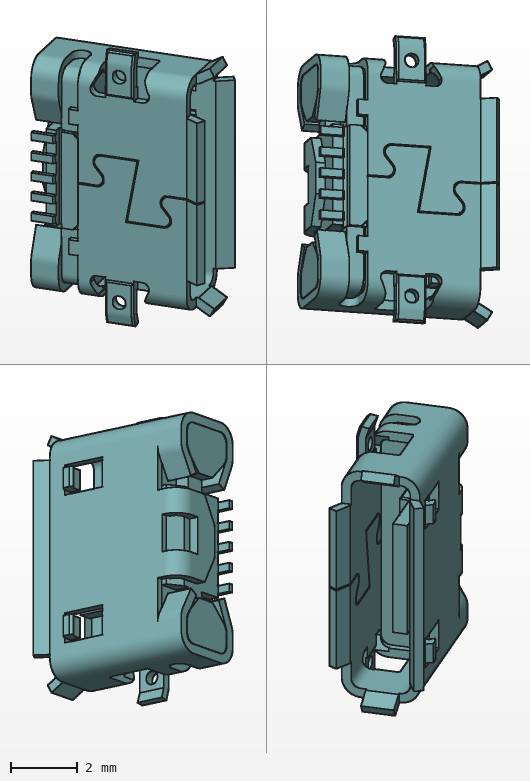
import cadquery as cq
import math


WALL = 0.30
SHELL_HALF_Z = 3.75
SHELL_BACK_Y = 1.25
SHELL_SEAM_Y = -1.20
SHELL_CORNER = 0.60
SHELL_END_X = 5.00
CLAMP_SEAM_Y = -1.26
CLAMP_LENGTH = 0.89
CLAMP_BEND_RADIUS = 0.57
CLAMP_BEND_Z = 2.73
CLAMP_BACK_TIP_Z = 1.75
CLAMP_SEAM_TIP_Z = 1.69
CLAMP_BACK_ANGLE = 30
CLAMP_SEAM_ANGLE = 24
SLOT_END_X = 1.49
SLOT_TOP_Y = 0.105
KEY_START_X = 1.19
KEY_Z = (1.87, 2.34)

LIP_ANGLE = 30
LIP_TIP_X = 5.585
SEAM_LIP_HALF = 2.62
BACK_LIP_HALF = 3.03
END_LIP_Y = (-0.42, 0.61)

WINDOW_X = (2.09, 3.59)
WINDOW_TOP_Y = 0.20
WINDOW_CORNER = 0.08
TAB_CENTRE_X = (WINDOW_X[0] + WINDOW_X[1]) / 2
RELIEF_WIDTH = 1.90
RELIEF_Z = (2.90, 3.15)
RELIEF_TAPER_END_Z = 3.56
RELIEF_CORNER = 0.22
TAB_WIDTH = 0.92
TAB_SEAM_Y = -1.25
TAB_Z = (2.97, 4.41)
TAB_BEND_Z = (3.965, 4.10)
TAB_TIP_SHIFT = 0.11
TAB_TIP_SKEW = 0.05
TAB_EDGE = 0.06
TAB_ROOT_Z = 2.80
TAB_HOLE_DIAMETER = 0.42
TAB_HOLE_Z = 3.64

SEAM_GAP = 0.04
SEAM_CENTRE_X = 3.245
SEAM_HALF_HEIGHT = 1.01
SEAM_RADIUS = 0.235
SEAM_NECK_X = 2.08
SEAM_HEAD_X = 2.24
SEAM_CORNER_X = 3.43

COVER_FRONT_X = 0.07
COVER_HALF_Z = 1.37
COVER_TIP_HALF_Z = 0.485
COVER_TAPER_Y = 0.02
COVER_TIP_Y = -0.48
COVER_BEND_RADIUS = 0.57
COVER_NOTCH_HALF_Z = 0.58
COVER_NOTCH_Y = 0.36

LATCH_Z = (1.99, 2.62)
LATCH_WINDOW_START_X = 3.00
LATCH_SIDE_GAP = 0.15
LATCH_TIP_X = (3.97, 4.43)
LATCH_TIP_Y = 1.47

CORE_FRONT_X = 0.42
CORE_HALF_Z = 1.55
CORE_SEAM_Y = -1.08
CORE_CHAMFER_Y = 0.57
CORE_CHAMFER_X = 0.30
GROOVE_START_X = 0.75
GROOVE_FLOOR_Y = -0.85
CORE_BACK_Y = 1.065
FLANGE_START_X = 0.88
FLANGE_SEAM_Y = -1.00
FLANGE_HALF_Z = 3.49
FLANGE_CORNER = 0.39
FLANGE_END_X = 1.41
RIB_START_X = 0.94
RIB_SEAM_Y = -1.15
RIB_CHAMFER = 0.18
BASE_END_X = 1.85
NECK_Y = (-0.29, 0.36)
NECK_Z = 1.94
BLOCK_FRONT_X = 0.02
LEDGE_END_X = 2.50
LEDGE_BOTTOM_Y = -0.13
LEDGE_CHAMFER = 0.05
TONGUE_END_X = 4.30
TONGUE_HALF_Z = 1.80
TONGUE_TOP_Y = 0.65

PIN_COUNT = 5
PIN_PITCH = 0.65
PIN_WIDTH = 0.25
PIN_SEAM_Y = -1.24
PIN_END_CHAMFER = 0.06

CAVITY_BACK_Y = SHELL_BACK_Y - WALL
CAVITY_SEAM_Y = SHELL_SEAM_Y + WALL
CAVITY_HALF_Z = SHELL_HALF_Z - WALL


def box(x_range, y_range, z_range):
    size = [high - low for low, high in (x_range, y_range, z_range)]
    return cq.Workplane("XY").box(*size, centered=False).translate((x_range[0], y_range[0], z_range[0]))


def both_ends(body):
    return body.union(body.mirror("XY"))


def rounded_bar(x_range, y_range, half_z, radius):
    return box(x_range, y_range, (-half_z, half_z)).edges("|X").fillet(radius)


def tube(x_range, seam_y):
    outer = rounded_bar(x_range, (seam_y, SHELL_BACK_Y), SHELL_HALF_Z, SHELL_CORNER)
    inner = rounded_bar(x_range, (seam_y + WALL, CAVITY_BACK_Y), CAVITY_HALF_Z, SHELL_CORNER - WALL)
    return outer.cut(inner)


def polar(centre, radius, degrees, side):
    """Point in the YZ plane, turned from the face normal (side * Y) towards -Z."""
    angle = math.radians(degrees)
    return (centre[0] + side * radius * math.cos(angle), centre[1] - radius * math.sin(angle))


def clamp_leg(face_y, side, angle, tip_z):
    """Wall strip bending inwards from a broad face of the upper clamp."""
    inner_radius = CLAMP_BEND_RADIUS - WALL
    centre = (face_y - side * CLAMP_BEND_RADIUS, CLAMP_BEND_Z)
    outer_end = polar(centre, CLAMP_BEND_RADIUS, angle, side)
    inner_end = polar(centre, inner_radius, angle, side)
    length = (outer_end[1] - tip_z) / math.cos(math.radians(angle))
    run_y = -side * length * math.sin(math.radians(angle))
    run_z = -length * math.cos(math.radians(angle))
    return (
        cq.Workplane("YZ")
        .moveTo(face_y, CLAMP_BEND_Z)
        .threePointArc(polar(centre, CLAMP_BEND_RADIUS, angle / 2, side), outer_end)
        .lineTo(outer_end[0] + run_y, outer_end[1] + run_z)
        .lineTo(inner_end[0] + run_y, inner_end[1] + run_z)
        .lineTo(*inner_end)
        .threePointArc(polar(centre, inner_radius, angle / 2, side), (face_y - side * WALL, CLAMP_BEND_Z))
        .close()
        .extrude(CLAMP_LENGTH)
    )


def clamps():
    reach_y = 2 * SHELL_BACK_Y
    bow = tube((0, CLAMP_LENGTH), CLAMP_SEAM_Y).intersect(
        box((0, CLAMP_LENGTH), (-reach_y, reach_y), (CLAMP_BEND_Z, SHELL_HALF_Z)))
    bow = bow.union(clamp_leg(SHELL_BACK_Y, 1, CLAMP_BACK_ANGLE, CLAMP_BACK_TIP_Z))
    bow = bow.union(clamp_leg(CLAMP_SEAM_Y, -1, CLAMP_SEAM_ANGLE, CLAMP_SEAM_TIP_Z))
    return both_ends(bow)


def cross_slot():
    """Slot with rounded ends that parts the seam face from the clamps."""
    width = SLOT_END_X - CLAMP_LENGTH
    shoulder_y = SLOT_TOP_Y - width / 2
    return (
        cq.Workplane("XY")
        .moveTo(CLAMP_LENGTH, 2 * SHELL_SEAM_Y)
        .lineTo(CLAMP_LENGTH, shoulder_y)
        .threePointArc((CLAMP_LENGTH + width / 2, SLOT_TOP_Y), (SLOT_END_X, shoulder_y))
        .lineTo(SLOT_END_X, 2 * SHELL_SEAM_Y)
        .close()
        .extrude(2 * SHELL_HALF_Z, both=True)
    )


def tab_window():
    """End-wall window joined to a wider, rounded relief in the seam face."""
    outside = 2 * SHELL_HALF_Z
    window = box(WINDOW_X, (2 * SHELL_SEAM_Y, WINDOW_TOP_Y), (RELIEF_TAPER_END_Z, outside))
    window = window.union(box(WINDOW_X, (CAVITY_SEAM_Y, WINDOW_TOP_Y), (CAVITY_HALF_Z - WALL, outside)))
    window = window.edges("|Z and >Y").fillet(WINDOW_CORNER)
    half = RELIEF_WIDTH / 2
    window_half = (WINDOW_X[1] - WINDOW_X[0]) / 2
    relief = (
        cq.Workplane("XZ", origin=(TAB_CENTRE_X, SHELL_SEAM_Y + SHELL_CORNER, 0))
        .polyline([
            (-half, RELIEF_Z[0]),
            (-half, RELIEF_Z[1]),
            (-window_half, RELIEF_TAPER_END_Z),
            (window_half, RELIEF_TAPER_END_Z),
            (half, RELIEF_Z[1]),
            (half, RELIEF_Z[0]),
        ])
        .close()
        .extrude(SHELL_CORNER - 2 * SHELL_SEAM_Y)
        .edges("|Y and <Z")
        .fillet(RELIEF_CORNER)
    )
    return both_ends(window.union(relief))


def solder_tabs():
    inner_y = TAB_SEAM_Y + WALL
    bend_start, bend_end = TAB_BEND_Z
    bend_middle = (bend_start + bend_end) / 2
    lean = TAB_TIP_SHIFT / (TAB_Z[1] - bend_middle)
    bend_y = lean * (bend_end - bend_middle)
    tab = (
        cq.Workplane("YZ")
        .moveTo(TAB_SEAM_Y, TAB_Z[0])
        .lineTo(TAB_SEAM_Y, bend_start)
        .tangentArcPoint((TAB_SEAM_Y + bend_y, bend_end), relative=False)
        .lineTo(TAB_SEAM_Y + TAB_TIP_SHIFT, TAB_Z[1])
        .lineTo(inner_y + TAB_TIP_SHIFT, TAB_Z[1] - TAB_TIP_SKEW)
        .lineTo(inner_y, bend_middle)
        .lineTo(inner_y, TAB_Z[0])
        .close()
        .extrude(TAB_WIDTH)
        .translate((TAB_CENTRE_X - TAB_WIDTH / 2, 0, 0))
    )

    def on_outer_rim(edge):
        """Edges around the seam-side face, leaving out the smooth lines across the bend."""
        middle = edge.Center()
        across = edge.BoundingBox().xlen > TAB_WIDTH / 2
        at_bend = bend_start - TAB_EDGE < middle.z < bend_end + TAB_EDGE
        return middle.y < TAB_SEAM_Y + WALL / 2 and not (across and at_bend)

    tab = tab.edges().filter(on_outer_rim).chamfer(TAB_EDGE)
    half = TAB_WIDTH / 2
    tab = tab.union(box(
        (TAB_CENTRE_X - half, TAB_CENTRE_X + half),
        (SHELL_SEAM_Y, CAVITY_SEAM_Y),
        (TAB_ROOT_Z, TAB_Z[0] + WALL)))
    hole = (
        cq.Workplane("XZ", origin=(TAB_CENTRE_X, 0, TAB_HOLE_Z))
        .circle(TAB_HOLE_DIAMETER / 2)
        .extrude(2 * SHELL_BACK_Y)
    )
    return both_ends(tab.cut(hole))


def lip_profile(plane, face):
    """Lip cross-section flaring outwards from a wall whose outer face is at +face."""
    angle = math.radians(LIP_ANGLE)
    drop_x = WALL * math.sin(angle)
    drop = WALL * math.cos(angle)
    run = LIP_TIP_X - drop_x - SHELL_END_X
    rise = run * math.tan(angle)
    return (
        cq.Workplane(plane)
        .polyline([
            (SHELL_END_X - WALL / 2, face),
            (SHELL_END_X, face),
            (SHELL_END_X + run, face + rise),
            (LIP_TIP_X, face + rise - drop),
            (SHELL_END_X + WALL * math.tan(angle / 2), face - WALL),
            (SHELL_END_X - WALL / 2, face - WALL),
        ])
        .close()
    )


def mouth_lips():
    back = lip_profile("XY", SHELL_BACK_Y).extrude(BACK_LIP_HALF, both=True)
    seam = lip_profile("XY", -SHELL_SEAM_Y).extrude(SEAM_LIP_HALF, both=True).mirror("XZ")
    end = lip_profile("XZ", SHELL_HALF_Z).extrude(END_LIP_Y[1] - END_LIP_Y[0])
    end = end.translate((0, END_LIP_Y[1], 0))
    return back.union(seam).union(both_ends(end))


def seam_gap():
    """Thin S-shaped dovetail gap, point-symmetric about its centre."""
    low = (SEAM_NECK_X, SEAM_RADIUS)
    high = (SEAM_HEAD_X, SEAM_HALF_HEIGHT - SEAM_RADIUS)
    span = math.hypot(high[0] - low[0], high[1] - low[1])
    heading = math.atan2(high[1] - low[1], high[0] - low[0])
    touch = heading - math.acos(2 * SEAM_RADIUS / span)

    def on_circle(centre, angle):
        return (centre[0] + SEAM_RADIUS * math.cos(angle), centre[1] + SEAM_RADIUS * math.sin(angle))

    def opposite(point):
        return (2 * SEAM_CENTRE_X - point[0], -point[1])

    start = (SLOT_END_X - WALL, 0)
    low_start = on_circle(low, -math.pi / 2)
    low_middle = on_circle(low, (touch - math.pi / 2) / 2)
    low_end = on_circle(low, touch)
    high_start = on_circle(high, touch + math.pi)
    high_middle = on_circle(high, (touch + 3 * math.pi / 2) / 2)
    high_end = on_circle(high, math.pi / 2)
    corner = (SEAM_CORNER_X, SEAM_HALF_HEIGHT)
    path = (
        cq.Workplane("XZ")
        .moveTo(*start)
        .lineTo(*low_start)
        .threePointArc(low_middle, low_end)
        .lineTo(*high_start)
        .threePointArc(high_middle, high_end)
        .lineTo(*corner)
        .lineTo(*opposite(corner))
        .lineTo(*opposite(high_end))
        .threePointArc(opposite(high_middle), opposite(high_start))
        .lineTo(*opposite(low_end))
        .threePointArc(opposite(low_middle), opposite(low_start))
        .lineTo(LIP_TIP_X + WALL, 0)
        .wire()
    )
    gap = path.offset2D(SEAM_GAP / 2).extrude(2 * SHELL_BACK_Y)
    return gap.cut(box((0, 2 * SHELL_END_X), (CAVITY_SEAM_Y, 0), (-SHELL_HALF_Z, SHELL_HALF_Z)))


def seam_keys():
    return both_ends(box((KEY_START_X, SLOT_END_X + WALL), (SHELL_SEAM_Y, CAVITY_SEAM_Y), KEY_Z))


def latch_windows():
    z_range = (LATCH_Z[0] - LATCH_SIDE_GAP, LATCH_Z[1] + LATCH_SIDE_GAP)
    window_x = (LATCH_WINDOW_START_X, LATCH_TIP_X[1])
    return both_ends(box(window_x, (CAVITY_BACK_Y - WALL, 2 * SHELL_BACK_Y), z_range))


def latches():
    """Tongues leaning outwards from the mouth-side edge of their windows, with a hooked tip."""
    shift = LATCH_TIP_Y - SHELL_BACK_Y
    outline = [
        (LATCH_TIP_X[0] + shift / 2, CAVITY_BACK_Y),
        (LATCH_TIP_X[0] + shift / 2, SHELL_BACK_Y),
        (LATCH_TIP_X[0], LATCH_TIP_Y - shift / 4),
        (LATCH_TIP_X[0] + shift / 2, LATCH_TIP_Y),
        (LATCH_TIP_X[1] - shift / 2, LATCH_TIP_Y),
        (LATCH_TIP_X[1], SHELL_BACK_Y),
        (LATCH_TIP_X[1], CAVITY_BACK_Y),
    ]
    arm = cq.Workplane("XY").polyline(outline).close().extrude(LATCH_Z[1] - LATCH_Z[0])
    return both_ends(arm.translate((0, 0, LATCH_Z[0])))


def front_cover():
    """Plate bent down from the back face over the contact end."""
    outer = COVER_BEND_RADIUS
    inner = outer - WALL
    centre = (COVER_FRONT_X + outer, SHELL_BACK_Y - outer)
    diagonal = math.sqrt(0.5)
    strip = (
        cq.Workplane("XY")
        .moveTo(COVER_FRONT_X, COVER_TIP_Y)
        .lineTo(COVER_FRONT_X, centre[1])
        .threePointArc(
            (centre[0] - outer * diagonal, centre[1] + outer * diagonal), (centre[0], SHELL_BACK_Y))
        .lineTo(SLOT_END_X, SHELL_BACK_Y)
        .lineTo(SLOT_END_X, CAVITY_BACK_Y)
        .lineTo(centre[0], CAVITY_BACK_Y)
        .threePointArc(
            (centre[0] - inner * diagonal, centre[1] + inner * diagonal), (centre[0] - inner, centre[1]))
        .lineTo(COVER_FRONT_X + WALL, COVER_TIP_Y)
        .close()
        .extrude(COVER_HALF_Z, both=True)
    )
    tapered = (
        cq.Workplane("YZ")
        .polyline([
            (SHELL_BACK_Y, COVER_HALF_Z),
            (COVER_TAPER_Y, COVER_HALF_Z),
            (COVER_TIP_Y, COVER_TIP_HALF_Z),
            (COVER_TIP_Y, -COVER_TIP_HALF_Z),
            (COVER_TAPER_Y, -COVER_HALF_Z),
            (SHELL_BACK_Y, -COVER_HALF_Z),
        ])
        .close()
        .extrude(SLOT_END_X)
    )
    notch = box(
        (0, CORE_FRONT_X + CORE_CHAMFER_X),
        (COVER_NOTCH_Y, SHELL_BACK_Y),
        (-COVER_NOTCH_HALF_Z, COVER_NOTCH_HALF_Z))
    return strip.intersect(tapered).cut(notch)


def end_blocks():
    """Insulator blocks filling the clamps, narrowing towards the middle."""
    seam_y = CLAMP_SEAM_Y + WALL
    inset = SHELL_CORNER - WALL
    block = (
        cq.Workplane("YZ")
        .polyline([
            (CAVITY_BACK_Y, CAVITY_HALF_Z),
            (CAVITY_BACK_Y, CLAMP_BEND_Z - WALL / 2),
            (NECK_Y[1], NECK_Z),
            (NECK_Y[0], NECK_Z),
            (seam_y, CLAMP_BEND_Z - WALL / 2),
            (seam_y, CAVITY_HALF_Z),
        ])
        .close()
        .extrude(CLAMP_LENGTH - BLOCK_FRONT_X)
        .edges("|X and >Z")
        .fillet(inset)
        .translate((BLOCK_FRONT_X, 0, 0))
    )
    return both_ends(block)


def insulator():
    core = box((CORE_FRONT_X, BASE_END_X), (CORE_SEAM_Y, CORE_BACK_Y), (-CORE_HALF_Z, CORE_HALF_Z))
    wedge = (
        cq.Workplane("XY")
        .polyline([
            (CORE_FRONT_X, CORE_CHAMFER_Y),
            (CORE_FRONT_X + CORE_CHAMFER_X, CORE_BACK_Y),
            (CORE_FRONT_X, CORE_BACK_Y),
        ])
        .close()
        .extrude(CORE_HALF_Z, both=True)
    )
    groove = box(
        (GROOVE_START_X, RIB_START_X), (2 * SHELL_SEAM_Y, GROOVE_FLOOR_Y), (-CORE_HALF_Z, CORE_HALF_Z))
    flange = rounded_bar(
        (FLANGE_START_X, FLANGE_END_X), (FLANGE_SEAM_Y, CORE_BACK_Y), FLANGE_HALF_Z, FLANGE_CORNER)
    rib = box((RIB_START_X, SLOT_END_X), (RIB_SEAM_Y, 0), (-CORE_HALF_Z, CORE_HALF_Z))
    rib = rib.edges("|Y and >X").chamfer(RIB_CHAMFER)
    base = rounded_bar(
        (CLAMP_LENGTH, BASE_END_X),
        (CAVITY_SEAM_Y, CAVITY_BACK_Y),
        CAVITY_HALF_Z,
        SHELL_CORNER - WALL)
    neck = box((CORE_FRONT_X, CLAMP_LENGTH), NECK_Y, (-NECK_Z, NECK_Z))
    tongue_z = (-TONGUE_HALF_Z, TONGUE_HALF_Z)
    ledge = box((CLAMP_LENGTH, LEDGE_END_X), (LEDGE_BOTTOM_Y, TONGUE_TOP_Y), tongue_z)
    ledge = ledge.faces("|Z").edges(">X or <Y").chamfer(LEDGE_CHAMFER)
    tongue = box((CLAMP_LENGTH, TONGUE_END_X), (WINDOW_TOP_Y, TONGUE_TOP_Y), tongue_z)
    body = core.cut(wedge)
    for piece in (flange, rib, base, neck, ledge, tongue, end_blocks()):
        body = body.union(piece)
    return body.cut(groove)


def contacts():
    pins = cq.Workplane("XY")
    for index in range(PIN_COUNT):
        z = (index - (PIN_COUNT - 1) / 2) * PIN_PITCH
        z_range = (z - PIN_WIDTH / 2, z + PIN_WIDTH / 2)
        pin = box((0, GROOVE_START_X), (PIN_SEAM_Y, CORE_SEAM_Y), z_range)
        pins = pins.union(pin.edges(">X and <Y").chamfer(PIN_END_CHAMFER))
    return pins


def shell():
    body = tube((CLAMP_LENGTH, SHELL_END_X), SHELL_SEAM_Y).cut(cross_slot())
    body = body.union(clamps()).union(seam_keys()).union(mouth_lips())
    body = body.cut(tab_window()).cut(seam_gap()).cut(latch_windows())
    return body.union(solder_tabs()).union(latches()).union(front_cover())


result = shell().union(insulator()).union(contacts())